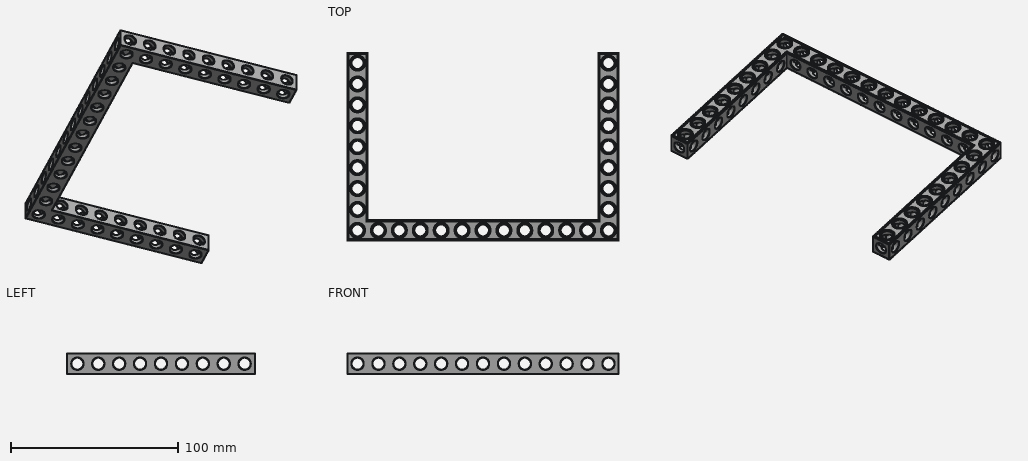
import cadquery as cq

PITCH = 12.5
HOLES_X = 13
HOLES_Y = 9
EDGE_CHAMFER = 0.3
HOLE_DIAMETER = 7.0
LONG_BORE_DIAMETER = 6.98
RIM_DIAMETER = 7.6
RECESS_DEPTH = 0.2
LAND_WIDTH = 0.8

LENGTH_X = HOLES_X * PITCH
LENGTH_Y = HOLES_Y * PITCH
HALF_BEAM = PITCH / 2
BORDER_WIDTH = EDGE_CHAMFER + LAND_WIDTH
BOSS_DIAMETER = RIM_DIAMETER + 2 * LAND_WIDTH

UP = cq.Vector(0, 0, 1)
ALONG_X = cq.Vector(1, 0, 0)
ALONG_Y = cq.Vector(0, 1, 0)


def grid_center(column, row):
    """Center of a grid cell; the cell at column 0, row 0 is the front-left corner."""
    return cq.Vector((column + 0.5) * PITCH, (row + 0.5) * PITCH, HALF_BEAM)


def u_prism(inset, bottom, height):
    """U-shaped prism, open toward +Y, with its outline moved inward by the inset."""
    outer_right = LENGTH_X - inset
    inner_left = PITCH - inset
    inner_right = LENGTH_X - inner_left
    end = LENGTH_Y - inset
    outline = [
        (inset, inset),
        (outer_right, inset),
        (outer_right, end),
        (inner_right, end),
        (inner_right, inner_left),
        (inner_left, inner_left),
        (inner_left, end),
        (inset, end),
    ]
    return cq.Workplane("XY").workplane(offset=bottom).polyline(outline).close().extrude(height)


def vertical_hole_cells():
    """Grid cells covered by the three beams."""
    cells = [(column, 0) for column in range(HOLES_X)]
    for column in (0, HOLES_X - 1):
        cells += [(column, row) for row in range(1, HOLES_Y)]
    return cells


def make_frame():
    """Frame with a shallow top recess that leaves a border and a boss around each hole.

    All edges are chamfered except the upright ones in the two concave corners.
    """
    floor = PITCH - RECESS_DEPTH
    centers = [grid_center(*cell).toTuple()[:2] for cell in vertical_hole_cells()]
    bosses = (
        cq.Workplane("XY")
        .workplane(offset=floor)
        .pushPoints(centers)
        .circle(BOSS_DIAMETER / 2)
        .extrude(RECESS_DEPTH)
    )
    recess = u_prism(BORDER_WIDTH, floor, RECESS_DEPTH).cut(bosses)
    convex_corners = "(<X or >X or <Y or >Y) and |Z"
    body = u_prism(0, 0, PITCH).edges(f"#Z or ({convex_corners})").chamfer(EDGE_CHAMFER)
    return body.cut(recess)


def hole_cutter(center, axis, length, diameter=HOLE_DIAMETER):
    """Through-hole of the given length about its center, with a chamfered rim at both ends."""
    hole_radius = diameter / 2
    rim_radius = RIM_DIAMETER / 2
    rim_depth = rim_radius - hole_radius
    start = center - axis * (length / 2)
    end = center + axis * (length / 2)
    bore = cq.Solid.makeCylinder(hole_radius, length, start, axis)
    start_rim = cq.Solid.makeCone(rim_radius, hole_radius, rim_depth, start, axis)
    end_rim = cq.Solid.makeCone(rim_radius, hole_radius, rim_depth, end, -axis)
    return [bore, start_rim, end_rim]


def make_hole_cutters():
    """Cutters for all holes across the three beams and for the bores running along them."""
    last_column = HOLES_X - 1
    middle_column = last_column / 2
    middle_row = (HOLES_Y - 1) / 2
    cutters = hole_cutter(grid_center(middle_column, 0), ALONG_X, LENGTH_X, LONG_BORE_DIAMETER)
    for cell in vertical_hole_cells():
        cutters += hole_cutter(grid_center(*cell), UP, PITCH)
    for column in range(1, last_column):
        cutters += hole_cutter(grid_center(column, 0), ALONG_Y, PITCH)
    for column in (0, last_column):
        cutters += hole_cutter(grid_center(column, middle_row), ALONG_Y, LENGTH_Y, LONG_BORE_DIAMETER)
        for row in range(1, HOLES_Y):
            cutters += hole_cutter(grid_center(column, row), ALONG_X, PITCH)
    return cutters


frame = make_frame().val()
result = cq.Workplane(obj=frame.cut(*make_hole_cutters()))